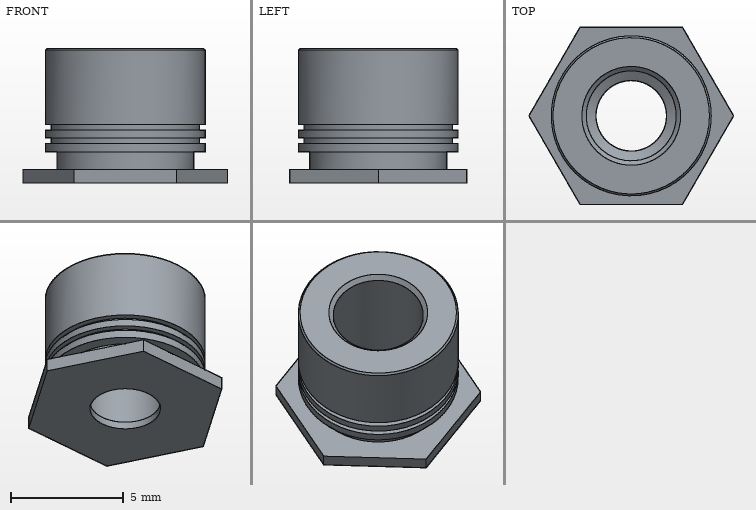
import cadquery as cq

hex_across_corners = 9.12
flange_thickness = 0.62

total_height = 6.0
body_diameter = 7.12
groove_diameter = 6.61
neck_diameter = 6.1
rim_chamfer = 0.08

neck_top = 1.395
lower_ring_top = 1.78
lower_groove_top = 2.02
upper_ring_top = 2.36
upper_groove_top = 2.61

bore_diameter = 4.0
through_diameter = 3.13
mouth_diameter = 4.4
taper_slope = 0.6
taper_top = flange_thickness
mouth_depth = (mouth_diameter - bore_diameter) / 2
taper_depth = (bore_diameter - through_diameter) / 2 * taper_slope


def cylinder(diameter, bottom, top):
    """Upright cylinder between two heights."""
    return cq.Workplane("XY").workplane(offset=bottom).circle(diameter / 2).extrude(top - bottom)


def make_flange():
    """Hexagonal plate with two corners on the X axis."""
    return cq.Workplane("XY").polygon(6, hex_across_corners).extrude(flange_thickness)


def make_body():
    """Round body with a neck, two rings and two grooves."""
    body = cylinder(body_diameter, upper_groove_top, total_height).faces(">Z").chamfer(rim_chamfer)
    steps = [
        (neck_diameter, flange_thickness, neck_top),
        (body_diameter, neck_top, lower_ring_top),
        (groove_diameter, lower_ring_top, lower_groove_top),
        (body_diameter, lower_groove_top, upper_ring_top),
        (groove_diameter, upper_ring_top, upper_groove_top),
    ]
    for diameter, bottom, top in steps:
        body = body.union(cylinder(diameter, bottom, top))
    return body


def make_bore():
    """Revolved bore with a chamfered mouth and a shallow taper."""
    return (
        cq.Workplane("XZ")
        .lineTo(through_diameter / 2, 0)
        .lineTo(through_diameter / 2, taper_top - taper_depth)
        .lineTo(bore_diameter / 2, taper_top)
        .lineTo(bore_diameter / 2, total_height - mouth_depth)
        .lineTo(mouth_diameter / 2, total_height)
        .lineTo(0, total_height)
        .close()
        .revolve(360, (0, 0, 0), (0, 1, 0))
    )


result = make_flange().union(make_body()).cut(make_bore())